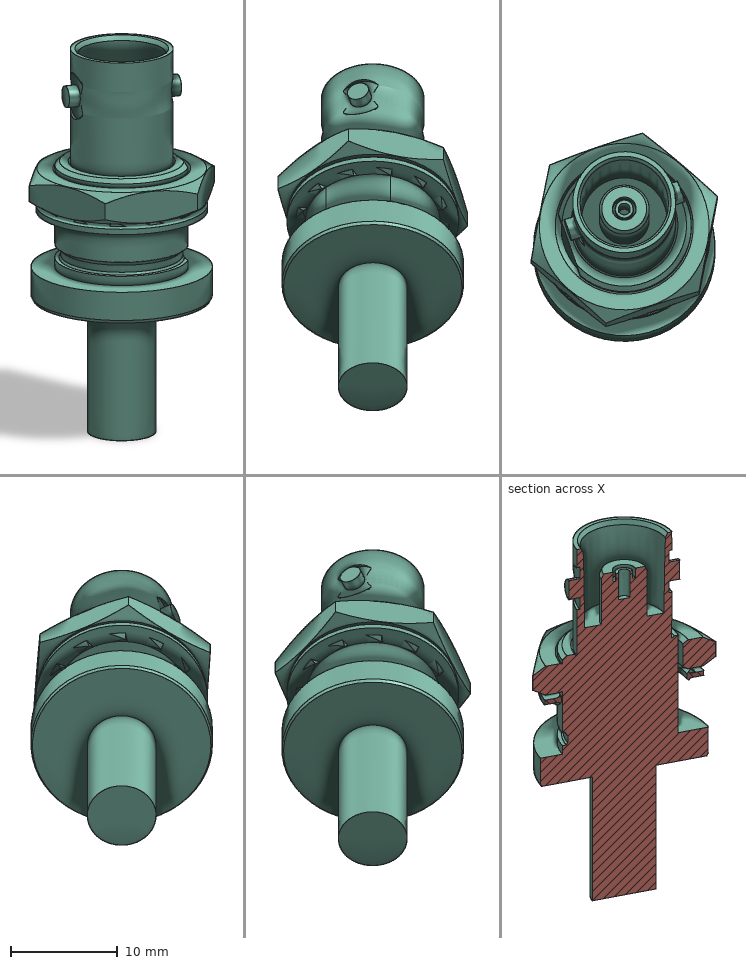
import cadquery as cq
import math


FLANGE_BOTTOM = 13.05
FLANGE_TOP = 16.1
GROOVE_BOTTOM = 17.0
GROOVE_TOP = 18.35
THREAD_TOP = 26.4
TOTAL_HEIGHT = 37.4
PIN_HEIGHT = 33.25

STEM_RADIUS = 3.22
FLANGE_RADIUS = 8.5
FLANGE_CHAMFER_WIDTH = 0.15
FLANGE_CHAMFER_HEIGHT = 0.3
THREAD_RADIUS = 6.28
THREAD_CHAMFER_WIDTH = 0.45
THREAD_CHAMFER_HEIGHT = 0.38
FLAT_OFFSET = 5.45
GROOVE_RADIUS = 5.73
GROOVE_LOWER_BEVEL = (0.15, 0.23)
GROOVE_UPPER_BEVEL = (0.35, 0.43)
SHELL_RADIUS = 4.82
RELIEF_SIZE = 0.2

WAIST_RADIUS = 4.67
WAIST_HALF_HEIGHT = 1.3
SPOT_FACE_RADIUS = 2.2
SPOT_FACE_OFFSET = 4.52
PIN_RADIUS = 1.03
PIN_SPAN = 11.2

SOCKET_FLOOR = 29.0
SOCKET_FLOOR_RADIUS = 4.0
SOCKET_MOUTH_RADIUS = 4.13
RIM_RADIUS = 4.38
RIM_DEPTH = 0.47
INSULATOR_RADIUS = 2.34
INSULATOR_TOP_RADIUS = 2.1
INSULATOR_TOP = 34.3
INSULATOR_TAPER_HEIGHT = 0.5
CONTACT_POCKET_RADIUS = 1.1
CONTACT_POCKET_DEPTH = 1.0
CONTACT_RADIUS = 0.85
CONTACT_BORE_RADIUS = 0.55
CONTACT_BORE_DEPTH = 3.0
CONTACT_RECESS = 0.2

NUT_BOTTOM = 22.6
NUT_TOP = 25.7
NUT_ACROSS_FLATS = 16.0
NUT_FACE_RADIUS = 7.95
NUT_CHAMFER_ANGLE = 31.0
NUT_BORE_RADIUS = 5.9
NUT_BORE_CHAMFER_WIDTH = 0.56
NUT_BORE_CHAMFER_HEIGHT = 0.32

WASHER_BOTTOM = 21.6
WASHER_TOP = 22.13
WASHER_OUTER_RADIUS = 8.05
WASHER_INNER_RADIUS = 6.3
TOOTH_COUNT = 12
TOOTH_PEAK_RADIUS = 6.72
TOOTH_ROOT_RADIUS = 7.2
TOOTH_RISE = 0.36
TOOTH_TWIST = 15.0
TOOTH_THICKNESS = 0.38


def ring_of(points):
    """Solid of revolution about Z from (radius, height) points."""
    return cq.Workplane("XZ").polyline(points).close().revolve(360, (0, 0, 0), (0, 1, 0))


def disc(radius, bottom, top):
    return cq.Workplane("XY").workplane(offset=bottom).circle(radius).extrude(top - bottom)


def make_base():
    """Stem and flange."""
    stem = disc(STEM_RADIUS, 0, FLANGE_BOTTOM)
    flange = ring_of([
        (0, FLANGE_BOTTOM),
        (FLANGE_RADIUS - FLANGE_CHAMFER_WIDTH, FLANGE_BOTTOM),
        (FLANGE_RADIUS, FLANGE_BOTTOM + FLANGE_CHAMFER_HEIGHT),
        (FLANGE_RADIUS, FLANGE_TOP),
        (0, FLANGE_TOP),
    ])
    return stem.union(flange)


def make_threaded_barrel():
    """Barrel with a seal groove, a chamfered top and a flat on its +Y side."""
    lower_width, lower_height = GROOVE_LOWER_BEVEL
    upper_width, upper_height = GROOVE_UPPER_BEVEL
    barrel = ring_of([
        (0, FLANGE_TOP),
        (THREAD_RADIUS, FLANGE_TOP),
        (THREAD_RADIUS, GROOVE_BOTTOM),
        (GROOVE_RADIUS + lower_width, GROOVE_BOTTOM),
        (GROOVE_RADIUS, GROOVE_BOTTOM + lower_height),
        (GROOVE_RADIUS, GROOVE_TOP - upper_height),
        (GROOVE_RADIUS + upper_width, GROOVE_TOP),
        (THREAD_RADIUS, GROOVE_TOP),
        (THREAD_RADIUS, THREAD_TOP - THREAD_CHAMFER_HEIGHT),
        (THREAD_RADIUS - THREAD_CHAMFER_WIDTH, THREAD_TOP),
        (SHELL_RADIUS + RELIEF_SIZE, THREAD_TOP),
        (SHELL_RADIUS, THREAD_TOP - RELIEF_SIZE),
        (0, THREAD_TOP - RELIEF_SIZE),
    ])
    beyond_flat = (
        cq.Workplane("XY")
        .box(2 * THREAD_RADIUS, THREAD_RADIUS, THREAD_TOP - FLANGE_TOP, centered=(True, False, False))
        .translate((0, FLAT_OFFSET, FLANGE_TOP))
    )
    return barrel.cut(beyond_flat)


def make_shell():
    """Bayonet shell with a hollow-curved waist, two spot faces and a cross pin, not yet hollow."""
    shell = (
        cq.Workplane("XZ")
        .moveTo(0, THREAD_TOP - RELIEF_SIZE)
        .lineTo(SHELL_RADIUS, THREAD_TOP - RELIEF_SIZE)
        .lineTo(SHELL_RADIUS, PIN_HEIGHT - WAIST_HALF_HEIGHT)
        .threePointArc((WAIST_RADIUS, PIN_HEIGHT), (SHELL_RADIUS, PIN_HEIGHT + WAIST_HALF_HEIGHT))
        .lineTo(SHELL_RADIUS, TOTAL_HEIGHT)
        .lineTo(0, TOTAL_HEIGHT)
        .close()
        .revolve(360, (0, 0, 0), (0, 1, 0))
    )
    for side in (-1, 1):
        spot_face = (
            cq.Workplane("XZ", origin=(0, side * SPOT_FACE_OFFSET, PIN_HEIGHT))
            .circle(SPOT_FACE_RADIUS)
            .extrude(-side * SHELL_RADIUS)
        )
        shell = shell.cut(spot_face)
    pin = (
        cq.Workplane("XZ", origin=(0, 0, PIN_HEIGHT))
        .circle(PIN_RADIUS)
        .extrude(PIN_SPAN / 2, both=True)
    )
    return shell.union(pin)


def make_socket():
    """Slightly tapered space inside the shell around the insulator."""
    return ring_of([
        (0, SOCKET_FLOOR),
        (SOCKET_FLOOR_RADIUS, SOCKET_FLOOR),
        (SOCKET_MOUTH_RADIUS, TOTAL_HEIGHT - RIM_DEPTH),
        (RIM_RADIUS, TOTAL_HEIGHT),
        (0, TOTAL_HEIGHT),
    ])


def make_insulator():
    """Tapered insulator with the contact sleeve recessed in its face."""
    insulator = ring_of([
        (0, SOCKET_FLOOR),
        (INSULATOR_RADIUS, SOCKET_FLOOR),
        (INSULATOR_RADIUS, INSULATOR_TOP - INSULATOR_TAPER_HEIGHT),
        (INSULATOR_TOP_RADIUS, INSULATOR_TOP),
        (0, INSULATOR_TOP),
    ])
    pocket_floor = INSULATOR_TOP - CONTACT_POCKET_DEPTH
    pocket = disc(CONTACT_POCKET_RADIUS, pocket_floor, INSULATOR_TOP)
    contact = disc(CONTACT_RADIUS, pocket_floor, INSULATOR_TOP - CONTACT_RECESS)
    bore = disc(CONTACT_BORE_RADIUS, INSULATOR_TOP - CONTACT_BORE_DEPTH, INSULATOR_TOP)
    return insulator.cut(pocket).union(contact).cut(bore)


def make_nut():
    """Hex nut with corners on the Y axis, bevelled on both faces and at both ends of its bore."""
    corner_radius = NUT_ACROSS_FLATS / math.sqrt(3)
    bevel_drop = (corner_radius - NUT_FACE_RADIUS) * math.tan(math.radians(NUT_CHAMFER_ANGLE))
    hexagon = (
        cq.Workplane("XY")
        .workplane(offset=NUT_BOTTOM)
        .transformed(rotate=(0, 0, 90))
        .polygon(6, 2 * corner_radius)
        .extrude(NUT_TOP - NUT_BOTTOM)
    )
    envelope = ring_of([
        (NUT_BORE_RADIUS + NUT_BORE_CHAMFER_WIDTH, NUT_BOTTOM),
        (NUT_FACE_RADIUS, NUT_BOTTOM),
        (corner_radius, NUT_BOTTOM + bevel_drop),
        (corner_radius, NUT_TOP - bevel_drop),
        (NUT_FACE_RADIUS, NUT_TOP),
        (NUT_BORE_RADIUS + NUT_BORE_CHAMFER_WIDTH, NUT_TOP),
        (NUT_BORE_RADIUS, NUT_TOP - NUT_BORE_CHAMFER_HEIGHT),
        (NUT_BORE_RADIUS, NUT_BOTTOM + NUT_BORE_CHAMFER_HEIGHT),
    ])
    return hexagon.intersect(envelope)


def make_connector():
    """Connector body with the nut screwed on."""
    shell = make_shell().cut(make_socket()).union(make_insulator())
    return make_base().union(make_threaded_barrel()).union(shell).union(make_nut())


def make_tooth_plate(angle):
    """Plate one tooth pitch long, twisted about its radial line so that its leading end dips."""
    pitch_length = 2 * TOOTH_PEAK_RADIUS * math.sin(math.pi / TOOTH_COUNT)
    radial_length = 2 * (TOOTH_ROOT_RADIUS - WASHER_INNER_RADIUS)
    middle_height = (WASHER_BOTTOM + WASHER_TOP) / 2
    return (
        cq.Workplane("XY")
        .box(radial_length, pitch_length, TOOTH_THICKNESS)
        .rotate((0, 0, 0), (1, 0, 0), -TOOTH_TWIST)
        .translate((TOOTH_PEAK_RADIUS, 0, middle_height))
        .rotate((0, 0, 0), (0, 0, 1), angle)
    )


def make_lock_washer():
    """Flat ring with twisted teeth whose peaked ends stand out of both faces."""
    washer = disc(WASHER_OUTER_RADIUS, WASHER_BOTTOM, WASHER_TOP)
    washer = washer.cut(disc(WASHER_INNER_RADIUS, WASHER_BOTTOM, WASHER_TOP))
    tooth_envelope = ring_of([
        (WASHER_INNER_RADIUS, WASHER_BOTTOM),
        (TOOTH_PEAK_RADIUS, WASHER_BOTTOM - TOOTH_RISE),
        (TOOTH_ROOT_RADIUS, WASHER_BOTTOM),
        (TOOTH_ROOT_RADIUS, WASHER_TOP),
        (TOOTH_PEAK_RADIUS, WASHER_TOP + TOOTH_RISE),
        (WASHER_INNER_RADIUS, WASHER_TOP),
    ])
    for index in range(TOOTH_COUNT):
        plate = make_tooth_plate((index + 0.5) * 360 / TOOTH_COUNT)
        washer = washer.union(plate.intersect(tooth_envelope))
    return washer


connector = make_connector()
lock_washer = make_lock_washer()

result = cq.Compound.makeCompound([*connector.solids().vals(), *lock_washer.solids().vals()])